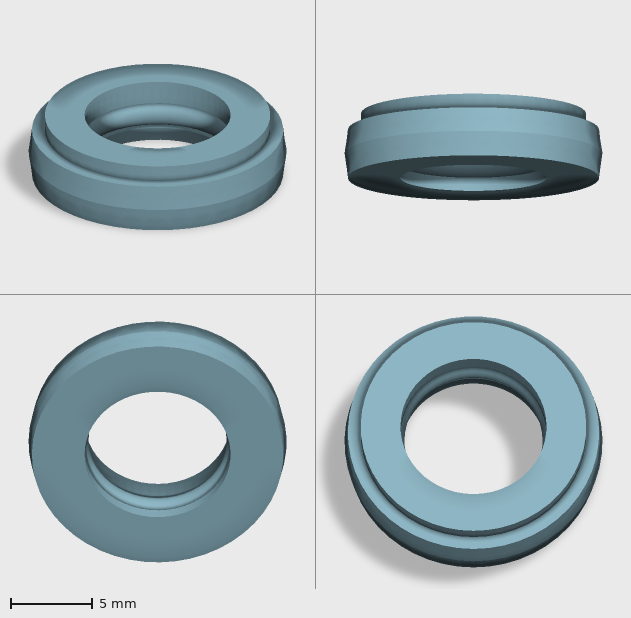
import cadquery as cq

outer_diameter = 15.9
flange_height = 3.0
flange_taper = 0.2
collar_diameter = 13.9
total_height = 4.0

bore_diameter = 9.0
lower_lip_height = 0.83
groove_width = 1.7

ring_inner_diameter = 8.5
cord_diameter = 1.6

outer_radius = outer_diameter / 2
flange_face_radius = outer_radius - flange_taper
collar_radius = collar_diameter / 2
bore_radius = bore_diameter / 2
groove_top = lower_lip_height + groove_width
ring_height = lower_lip_height + groove_width / 2
cord_center_radius = (ring_inner_diameter + cord_diameter) / 2
groove_radius = ring_inner_diameter / 2 + cord_diameter


def make_housing():
    """Double-tapered flange with a collar, bored through and grooved inside."""
    profile = (
        cq.Workplane("XZ")
        .moveTo(bore_radius, 0)
        .lineTo(flange_face_radius, 0)
        .lineTo(outer_radius, flange_height / 2)
        .lineTo(flange_face_radius, flange_height)
        .lineTo(collar_radius, flange_height)
        .lineTo(collar_radius, total_height)
        .lineTo(bore_radius, total_height)
        .lineTo(bore_radius, groove_top)
        .lineTo(groove_radius, groove_top)
        .lineTo(groove_radius, lower_lip_height)
        .lineTo(bore_radius, lower_lip_height)
        .close()
    )
    return profile.revolve(360, (0, 0, 0), (0, 1, 0))


def make_o_ring():
    """Round-section seal centred in the groove, standing proud of the bore."""
    section = cq.Workplane("XZ").center(cord_center_radius, ring_height).circle(cord_diameter / 2)
    return section.revolve(360, (-cord_center_radius, 0, 0), (-cord_center_radius, 1, 0))


housing = make_housing()
o_ring = make_o_ring()

result = cq.Compound.makeCompound([housing.val(), o_ring.val()])